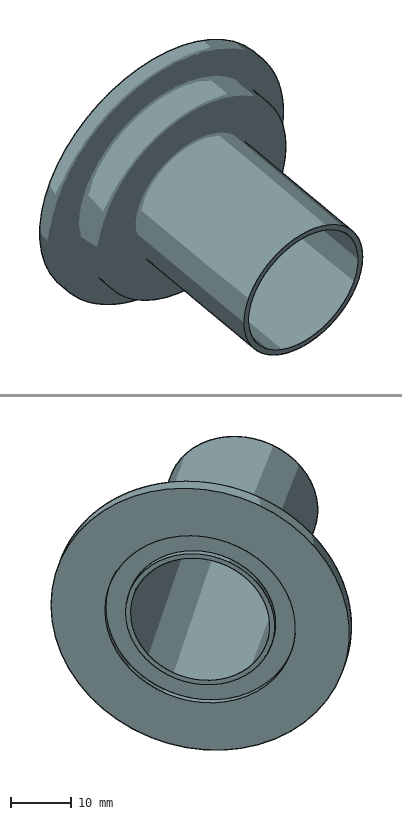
import cadquery as cq
import math

length = 38.5
flange_radius = 25.25
tube_radius = 12.8
bore_radius = 11.75

rim_width = 2.75
cone_angle = 15.0
hub_radius = 20.25
hub_end = 9.7
corner_radius = 0.8

groove_outer_radius = 16.1
groove_inner_radius = 12.6
groove_depth = 1.0


def make_body():
    """Revolve the solid outer shape and round every corner between its ends."""
    cone_width = (flange_radius - hub_radius) * math.tan(math.radians(cone_angle))
    outline = [
        (0, 0),
        (0, flange_radius),
        (rim_width, flange_radius),
        (rim_width + cone_width, hub_radius),
        (hub_end, hub_radius),
        (hub_end, tube_radius),
        (length, tube_radius),
        (length, 0),
    ]
    body = cq.Workplane("XY").polyline(outline).close().revolve(360, (0, 0), (1, 0))
    return body.edges("%CIRCLE").edges("not(<X or >X)").fillet(corner_radius)


def make_bore():
    return cq.Workplane("YZ").circle(bore_radius).extrude(length)


def make_groove():
    circles = cq.Workplane("YZ").circle(groove_outer_radius).circle(groove_inner_radius)
    return circles.extrude(groove_depth)


result = make_body().cut(make_bore()).cut(make_groove())